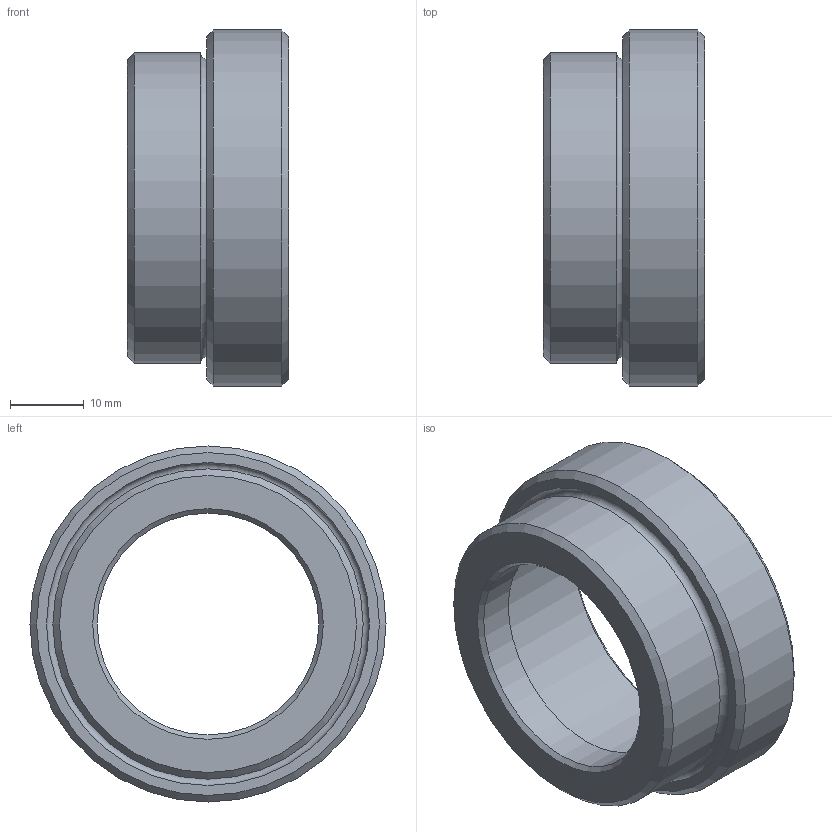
import cadquery as cq

total_length = 21.8
collar_radius = 24.1
collar_length = 11.1
spigot_radius = 21.0
edge_chamfer = 0.9
relief_radius = 0.85

lip_radius = 15.0
lip_length = 5.3
mouth_chamfer = 0.6
rear_bore_radius = 18.6

front_x = -total_length / 2
back_x = total_length / 2
shoulder_x = back_x - collar_length
lip_back_x = front_x + lip_length


def cylinder(radius, start_x, end_x):
    """Solid cylinder along X."""
    return cq.Workplane("YZ").workplane(offset=start_x).circle(radius).extrude(end_x - start_x)


def make_collar():
    """Large ring, chamfered on both outer edges."""
    return cylinder(collar_radius, shoulder_x, back_x).faces("<X or >X").edges().chamfer(edge_chamfer)


def make_spigot():
    """Smaller ring in front of the collar, chamfered on its front outer edge."""
    return cylinder(spigot_radius, front_x, shoulder_x).faces("<X").edges().chamfer(edge_chamfer)


def make_corner_relief():
    """Round undercut centred on the corner between spigot and collar."""
    return (
        cq.Workplane("XY")
        .center(shoulder_x, spigot_radius)
        .circle(relief_radius)
        .revolve(360, (0, -spigot_radius, 0), (1, -spigot_radius, 0))
    )


def make_bore():
    """Stepped through bore, flared by a 45 degree chamfer at each mouth."""
    return (
        cq.Workplane("XY")
        .moveTo(front_x, 0)
        .lineTo(front_x, lip_radius + mouth_chamfer)
        .lineTo(front_x + mouth_chamfer, lip_radius)
        .lineTo(lip_back_x, lip_radius)
        .lineTo(lip_back_x, rear_bore_radius)
        .lineTo(back_x - mouth_chamfer, rear_bore_radius)
        .lineTo(back_x, rear_bore_radius + mouth_chamfer)
        .lineTo(back_x, 0)
        .close()
        .revolve(360, (0, 0, 0), (1, 0, 0))
    )


outer_body = make_spigot().union(make_collar())
result = outer_body.cut(make_corner_relief()).cut(make_bore())